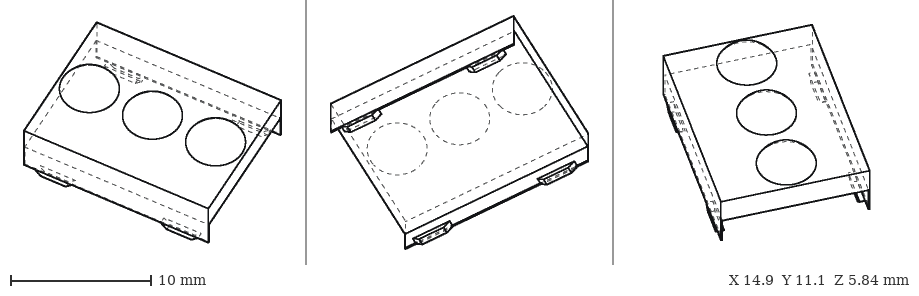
import cadquery as cq

housing_length = 14.91
housing_width = 11.05
slab_thickness = 2.0
skirt_height = 2.0
skirt_thickness = 0.1

lens_pitch = 5.1
lens_base_radius = 2.14
lens_height = 1.34
lens_positions = [-lens_pitch, 0, lens_pitch]

foot_spacing = 10.16
foot_top_length = 3.0
foot_bottom_length = 2.0
foot_height = 0.5
foot_width = 0.5

skirt_bottom = foot_height
slab_bottom = skirt_bottom + skirt_height
slab_top = slab_bottom + slab_thickness


def make_housing():
    """Inverted channel, open at both X ends."""
    body_height = slab_top - skirt_bottom
    channel_width = housing_width - 2 * skirt_thickness
    low_corner = (True, True, False)
    block = cq.Workplane("XY").box(housing_length, housing_width, body_height, centered=low_corner)
    channel = cq.Workplane("XY").box(housing_length, channel_width, skirt_height, centered=low_corner)
    return block.cut(channel).translate((0, 0, skirt_bottom))


def make_lens(x):
    """Spherical cap resting on the slab, centred at the given X."""
    sphere_radius = (lens_base_radius**2 + lens_height**2) / (2 * lens_height)
    sphere_center = lens_height - sphere_radius
    middle_z = lens_height / 2
    middle_radius = (sphere_radius**2 - (middle_z - sphere_center) ** 2) ** 0.5
    cap = (
        cq.Workplane("XZ")
        .lineTo(lens_base_radius, 0)
        .threePointArc((middle_radius, middle_z), (0, lens_height))
        .close()
        .revolve(360, (0, 0, 0), (0, 1, 0))
    )
    return cap.translate((x, 0, slab_top))


def make_foot(x, y):
    """Bar with a trapezoidal face, centred at the given X and Y."""
    outline = [
        (-foot_bottom_length / 2, 0),
        (foot_bottom_length / 2, 0),
        (foot_top_length / 2, foot_height),
        (-foot_top_length / 2, foot_height),
    ]
    bar = cq.Workplane("XZ").polyline(outline).close().extrude(foot_width / 2, both=True)
    return bar.translate((x, y, 0))


housing = make_housing()

lenses = [make_lens(x) for x in lens_positions]

foot_x = foot_spacing / 2
foot_y = (housing_width - foot_width) / 2
feet = [make_foot(x, y) for x in (-foot_x, foot_x) for y in (-foot_y, foot_y)]

result = cq.Compound.makeCompound([
    housing.val(),
    *[lens.val() for lens in lenses],
    *[foot.val() for foot in feet],
])